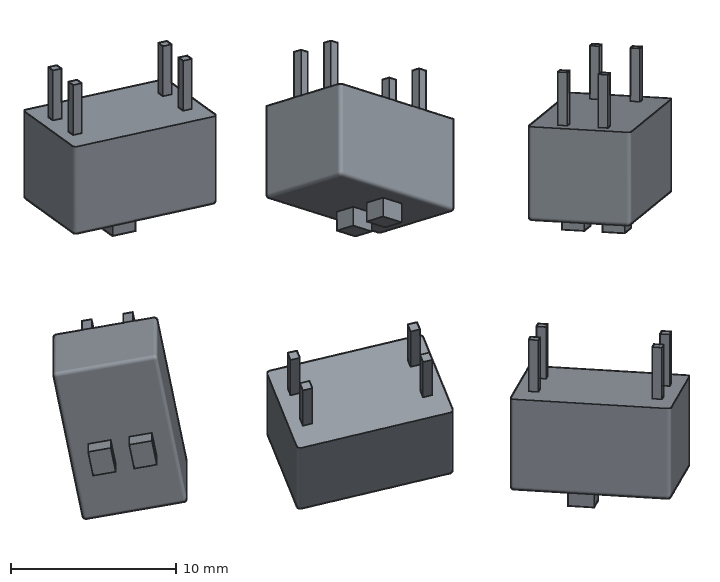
import cadquery as cq

housing_width = 6.44
housing_length = 9.9
housing_height = 5.85
edge_radius = 0.24

pin_side = 0.6
pin_length = 3.3
pin_pitch = 2.54
pin_row_spacing = 7.62

actuator_width = 1.4
actuator_length = 1.6
actuator_height = 1.2
actuator_back_y = 0.0


def make_housing():
    """Block with rounded upright and bottom edges, carrying four pins on top."""
    block = (
        cq.Workplane("XY")
        .box(housing_width, housing_length, housing_height, centered=(True, True, False))
        .edges("|Z or <Z")
        .fillet(edge_radius)
    )
    pins = (
        cq.Workplane("XY", origin=(0, 0, housing_height))
        .rarray(pin_pitch, pin_row_spacing, 2, 2)
        .rect(pin_side, pin_side)
        .extrude(pin_length)
    )
    return block.union(pins)


def make_actuator(center_x):
    """Plain rectangular actuator hanging from the underside of the housing."""
    center_y = actuator_back_y - actuator_length / 2
    return (
        cq.Workplane("XY")
        .center(center_x, center_y)
        .rect(actuator_width, actuator_length)
        .extrude(-actuator_height)
    )


housing = make_housing()
actuators = [make_actuator(side * pin_pitch / 2) for side in (-1, 1)]

result = cq.Compound.makeCompound([housing.val(), *[actuator.val() for actuator in actuators]])